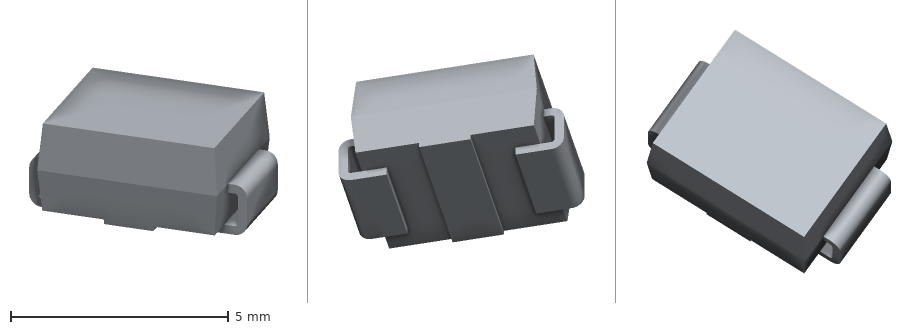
import cadquery as cq
import math

body_length = 4.4
body_width = 3.6
body_top = 2.41
parting_height = 1.26
draft_angle = 5.0

standoff_length = 1.21
standoff_bottom = 0.1

lead_span = 5.33
lead_width = 2.1
lead_thickness = 0.22
outer_bend_radius = 0.3
inner_bend_radius = outer_bend_radius - lead_thickness
foot_length = 1.14
lead_embed = 0.3

body_bottom = lead_thickness


def drafted_half(depth):
    """Half of the body from the parting plane to a signed depth, narrowing away from it."""
    return (
        cq.Workplane("XY", origin=(0, 0, parting_height))
        .rect(body_length, body_width)
        .extrude(depth, taper=draft_angle)
    )


def make_body():
    upper = drafted_half(body_top - parting_height)
    lower = drafted_half(body_bottom - parting_height)
    return upper.union(lower)


def make_standoff():
    """Pad whose end walls carry on the draft of the lower body half."""
    draft_slope = math.tan(math.radians(draft_angle))
    half_width_top = body_width / 2 - (parting_height - body_bottom) * draft_slope
    half_width_bottom = body_width / 2 - (parting_height - standoff_bottom) * draft_slope
    return (
        cq.Workplane("YZ")
        .moveTo(-half_width_top, body_bottom)
        .lineTo(-half_width_bottom, standoff_bottom)
        .lineTo(half_width_bottom, standoff_bottom)
        .lineTo(half_width_top, body_bottom)
        .close()
        .extrude(standoff_length / 2, both=True)
    )


def corner_edges(x, z_low, z_high):
    """Selector for the strip's corner edges at one X, between two heights."""
    margin = lead_thickness / 4
    return cq.selectors.BoxSelector(
        (x - margin, -lead_width, z_low - margin),
        (x + margin, lead_width, z_high + margin),
    )


def make_left_lead():
    outer_x = -lead_span / 2
    inner_x = outer_x + lead_thickness
    foot_tip_x = outer_x + foot_length
    arm_end_x = -body_length / 2 + lead_embed
    arm_bottom = parting_height - lead_thickness
    strip = (
        cq.Workplane("XZ")
        .moveTo(arm_end_x, parting_height)
        .lineTo(outer_x, parting_height)
        .lineTo(outer_x, 0)
        .lineTo(foot_tip_x, 0)
        .lineTo(foot_tip_x, lead_thickness)
        .lineTo(inner_x, lead_thickness)
        .lineTo(inner_x, arm_bottom)
        .lineTo(arm_end_x, arm_bottom)
        .close()
        .extrude(lead_width / 2, both=True)
    )
    inner_corners = corner_edges(inner_x, lead_thickness, arm_bottom)
    outer_corners = corner_edges(outer_x, 0, parting_height)
    strip = strip.edges("|Y").edges(inner_corners).fillet(inner_bend_radius)
    return strip.edges("|Y").edges(outer_corners).fillet(outer_bend_radius)


left_lead = make_left_lead()
right_lead = left_lead.mirror("YZ")

result = make_body().union(make_standoff()).union(left_lead).union(right_lead)